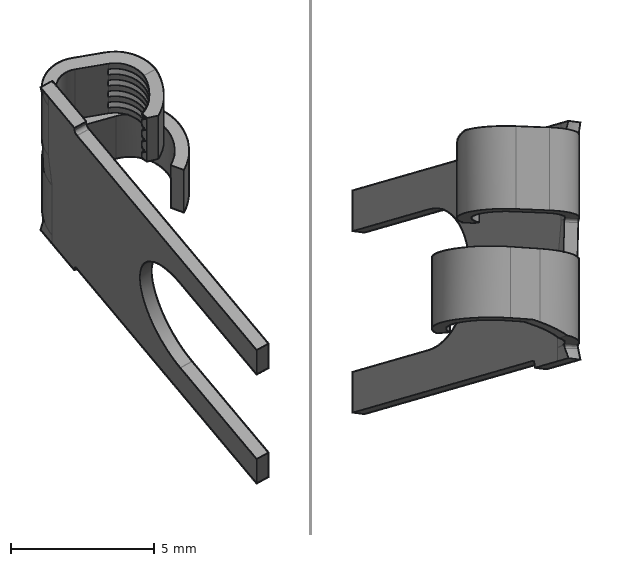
import cadquery as cq
import math

THICKNESS = 0.5
LENGTH = 14.79
ROOT_HEIGHT = 8.43
PLATE_HEIGHT = 7.9
ROOT_START = 1.35
ROOT_END = 3.46
STEP_RADIUS = 0.15
NOTCH_RADIUS = 0.12

SLOT_RADIUS = 2.5
SLOT_CENTER_X = 10.03

EAR_HEIGHT = 0.5
WEB_HEIGHT = 1.54
ROOT_TOP = ROOT_HEIGHT / 2
CURL_OUTER = ROOT_TOP - EAR_HEIGHT
CURL_INNER = WEB_HEIGHT / 2

LARGE_BEND_RADIUS = 2.05
LARGE_HOOK_RADIUS = 2.05
LARGE_LEAN = 15.0
LARGE_HEIGHT = 5.16
LARGE_TIP_ANGLE = 31.5

SMALL_LEFT = 0.5
SMALL_BEND_RADIUS = 1.32
SMALL_HOOK_RADIUS = 1.7
SMALL_LEAN = 22.2
SMALL_HEIGHT = 3.98
SMALL_TIP_ANGLE = 16.5
TIP_BEVEL_ANGLE = 28.5
TIP_LAND = 0.24

LARGE_TAPER_START = 1.4
LARGE_TAPER_END = 2.84
LARGE_TAPER_DROP = 0.41
SMALL_TAPER_DROP = 0.38

GROOVE_COUNT = 4
GROOVE_PITCH = 0.65
GROOVE_DEPTH = 0.16

LARGE_BEND_X = LARGE_BEND_RADIUS
SMALL_BEND_X = SMALL_LEFT + SMALL_BEND_RADIUS


def polar(center, radius, degrees):
    """Point at the given radius and angle about a center."""
    angle = math.radians(degrees)
    return (center[0] + radius * math.cos(angle), center[1] + radius * math.sin(angle))


def hook_center(bend_x, bend_radius, lean, hook_radius, height):
    """Center of the hook arc joined to the bend by a straight leaning wall."""
    center_y = height - hook_radius
    slope = math.radians(lean)
    rise = center_y - bend_radius
    radius_change = bend_radius - hook_radius
    wall = (rise - radius_change * math.sin(slope)) / math.cos(slope)
    return (bend_x - radius_change * math.cos(slope) + wall * math.sin(slope), center_y)


def curl(bend_x, bend_radius, lean, hook, hook_radius, tip_angle, bottom, top):
    """Strip that runs from the root end through the bend, the wall and the hook."""
    bend = (bend_x, bend_radius)
    wall_angle = 180 - lean
    bend_middle = (wall_angle + 270) / 2
    hook_middle = (wall_angle + tip_angle) / 2
    bend_inside = bend_radius - THICKNESS
    hook_inside = hook_radius - THICKNESS
    return (
        cq.Workplane("XY", origin=(0, 0, bottom))
        .moveTo(ROOT_END, 0)
        .lineTo(bend_x, 0)
        .threePointArc(polar(bend, bend_radius, bend_middle), polar(bend, bend_radius, wall_angle))
        .lineTo(*polar(hook, hook_radius, wall_angle))
        .threePointArc(polar(hook, hook_radius, hook_middle), polar(hook, hook_radius, tip_angle))
        .lineTo(*polar(hook, hook_inside, tip_angle))
        .threePointArc(polar(hook, hook_inside, hook_middle), polar(hook, hook_inside, wall_angle))
        .lineTo(*polar(bend, bend_inside, wall_angle))
        .threePointArc(polar(bend, bend_inside, bend_middle), (bend_x, THICKNESS))
        .lineTo(ROOT_END, THICKNESS)
        .close()
        .extrude(top - bottom)
    )


def large_curl():
    """Lower curl, whose outer side narrows along a slope."""
    hook = hook_center(LARGE_BEND_X, LARGE_BEND_RADIUS, LARGE_LEAN, LARGE_HOOK_RADIUS, LARGE_HEIGHT)
    body = curl(
        LARGE_BEND_X, LARGE_BEND_RADIUS, LARGE_LEAN,
        hook, LARGE_HOOK_RADIUS, LARGE_TIP_ANGLE, -CURL_OUTER, -CURL_INNER,
    )
    taper = (
        cq.Workplane("YZ")
        .polyline([
            (LARGE_TAPER_START, -CURL_OUTER),
            (LARGE_TAPER_END, -CURL_OUTER + LARGE_TAPER_DROP),
            (LARGE_HEIGHT, -CURL_OUTER + LARGE_TAPER_DROP),
            (LARGE_HEIGHT, -CURL_OUTER),
        ])
        .close()
        .extrude(LENGTH)
    )
    return body.cut(taper)


def small_curl():
    """Upper curl with a bevelled tip, a sloping outer side and grooves."""
    hook = hook_center(SMALL_BEND_X, SMALL_BEND_RADIUS, SMALL_LEAN, SMALL_HOOK_RADIUS, SMALL_HEIGHT)
    inside = SMALL_HOOK_RADIUS - THICKNESS
    body = curl(
        SMALL_BEND_X, SMALL_BEND_RADIUS, SMALL_LEAN,
        hook, SMALL_HOOK_RADIUS, SMALL_TIP_ANGLE, CURL_INNER, CURL_OUTER,
    )
    bevel_inner = polar(hook, inside + TIP_LAND, SMALL_TIP_ANGLE)
    bevel_outer = polar(hook, SMALL_HOOK_RADIUS, TIP_BEVEL_ANGLE)
    bevel = (
        cq.Workplane("XY", origin=(0, 0, CURL_INNER))
        .polyline([bevel_inner, bevel_outer, (LENGTH, bevel_outer[1]), (LENGTH, bevel_inner[1])])
        .close()
        .extrude(CURL_OUTER - CURL_INNER)
    )
    taper = (
        cq.Workplane("XZ", origin=(0, hook[1], 0))
        .polyline([
            (hook[0], CURL_OUTER),
            (bevel_outer[0], CURL_OUTER - SMALL_TAPER_DROP),
            (bevel_outer[0], CURL_OUTER),
        ])
        .close()
        .extrude(-SMALL_HEIGHT)
    )
    return body.cut(bevel).cut(taper).cut(grooves(hook, inside))


def grooves(hook, inside):
    """V grooves turned about the hook axis, kept to the hook side of the wall."""
    middle = (CURL_INNER + CURL_OUTER) / 2
    rings = []
    for index in range(GROOVE_COUNT):
        z = middle + (index - (GROOVE_COUNT - 1) / 2) * GROOVE_PITCH
        ring = (
            cq.Workplane("XZ", origin=(hook[0], hook[1], 0))
            .polyline([
                (0, z - GROOVE_DEPTH),
                (inside, z - GROOVE_DEPTH),
                (inside + GROOVE_DEPTH, z),
                (inside, z + GROOVE_DEPTH),
                (0, z + GROOVE_DEPTH),
            ])
            .close()
            .revolve(180 - SMALL_LEAN, (0, 0), (0, 1))
        )
        rings.append(ring.val())
    return cq.Compound.makeCompound(rings)


def root_section(z, bend_x, bend_radius=None):
    """Cross-section of the root: flat, or following the start of a curl bend."""
    section = cq.Workplane("XY", origin=(0, 0, z)).moveTo(ROOT_END, 0).lineTo(bend_x, 0)
    if bend_radius is None:
        section = section.lineTo(ROOT_START, 0).lineTo(ROOT_START, THICKNESS).lineTo(bend_x, THICKNESS)
    else:
        bend = (bend_x, bend_radius)
        inside = bend_radius - THICKNESS
        end_angle = 180 + math.degrees(math.acos((bend_x - ROOT_START) / bend_radius))
        middle_angle = (end_angle + 270) / 2
        section = (
            section
            .threePointArc(polar(bend, bend_radius, middle_angle), polar(bend, bend_radius, end_angle))
            .lineTo(*polar(bend, inside, end_angle))
            .threePointArc(polar(bend, inside, middle_angle), (bend_x, THICKNESS))
        )
    return section.lineTo(ROOT_END, THICKNESS).close().wires().val()


def root_band(lower, upper):
    """Ruled band of sheet between two root cross-sections."""
    return cq.Workplane(obj=cq.Solid.makeLoft([lower, upper], True))


def plate():
    """Flat plate with a round-bottomed fork slot open at its far end."""
    body = cq.Workplane("XY", origin=(ROOT_END, 0, 0)).box(
        LENGTH - ROOT_END, THICKNESS, PLATE_HEIGHT, centered=(False, False, True)
    )
    slot = (
        cq.Workplane("XZ")
        .moveTo(LENGTH, SLOT_RADIUS)
        .lineTo(SLOT_CENTER_X, SLOT_RADIUS)
        .threePointArc((SLOT_CENTER_X - SLOT_RADIUS, 0), (SLOT_CENTER_X, -SLOT_RADIUS))
        .lineTo(LENGTH, -SLOT_RADIUS)
        .close()
        .extrude(-THICKNESS)
    )
    return body.cut(slot)


small_side = (SMALL_BEND_X, SMALL_BEND_RADIUS)
large_side = (LARGE_BEND_X, LARGE_BEND_RADIUS)
upper_ear = root_band(root_section(CURL_OUTER, *small_side), root_section(ROOT_TOP, SMALL_BEND_X))
web = root_band(root_section(-CURL_INNER, *large_side), root_section(CURL_INNER, *small_side))
lower_ear = root_band(root_section(-ROOT_TOP, LARGE_BEND_X), root_section(-CURL_OUTER, *large_side))

result = plate().union(small_curl()).union(large_curl()).union(web).union(upper_ear).union(lower_ear)

for z in (-PLATE_HEIGHT / 2, PLATE_HEIGHT / 2):
    step_edge = cq.selectors.NearestToPointSelector((ROOT_END, THICKNESS / 2, z))
    result = result.edges(step_edge).fillet(STEP_RADIUS)

for z in (-CURL_OUTER, -CURL_INNER, CURL_INNER, CURL_OUTER):
    notch_edge = cq.selectors.NearestToPointSelector((ROOT_START, THICKNESS / 2, z))
    healed = result.edges(notch_edge).fillet(NOTCH_RADIUS).val().fix()
    result = cq.Workplane(obj=healed.Solids()[0])